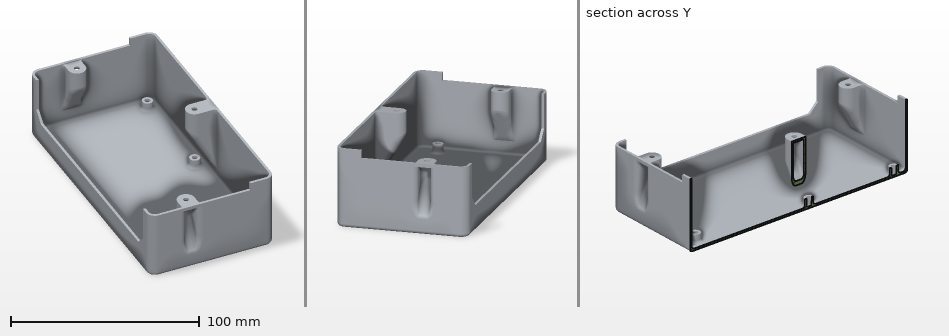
import cadquery as cq
import math

LENGTH = 149.2
WIDTH = 73.3
HEIGHT = 43.5
WALL = 1.5

CORNER_RADIUS = 5.0
BOTTOM_FILLET = 2.0
CAVITY_FLOOR_FILLET = 1.5

RIM_Z = 39.1
RIM_STEP_FROM_BACK = 14.5

WINDOW_FLOOR_Z = 14.2
WINDOW_END_MARGIN = 9.0
WINDOW_CHAMFER = 5.8

LUG_WIDTH = 10.0
LUG_SLOPE = math.radians(60)
LUG_SLOPE_FILLET = 3.1
LUG_ROOT_FILLET = 1.6
LUG_HOLE_DIAMETER = 3.1
SIDE_LUG_REACH = 12.5
SIDE_LUG_TOP_Z = 38.6
SIDE_LUG_NOSE_HEIGHT = 10.6
SIDE_LUG_Y = -12.1
BACK_LUG_REACH = 16.7
BACK_LUG_NOSE_HEIGHT = 12.4

LUGS = [
    (0, (-LENGTH / 2, SIDE_LUG_Y, 0), SIDE_LUG_REACH, SIDE_LUG_TOP_Z, SIDE_LUG_NOSE_HEIGHT),
    (180, (LENGTH / 2, SIDE_LUG_Y, 0), SIDE_LUG_REACH, SIDE_LUG_TOP_Z, SIDE_LUG_NOSE_HEIGHT),
    (-90, (0, WIDTH / 2, 0), BACK_LUG_REACH, HEIGHT, BACK_LUG_NOSE_HEIGHT),
]

POST_DIAMETER = 6.0
POST_HOLE_TOP_DIAMETER = 3.1
POST_HOLE_BOTTOM_DIAMETER = 2.8
POST_HEIGHT = 5.0
POST_FILLET = 1.6
POST_CENTERS = [(-65.3, 28.5), (-7.2, 28.5), (65.5, 22.1)]

EDGE_MARGIN = 0.1


def make_tray():
    outer = cq.Workplane("XY").box(LENGTH, WIDTH, HEIGHT, centered=(True, True, False))
    outer = outer.edges("|Z").fillet(CORNER_RADIUS).faces("<Z").edges().fillet(BOTTOM_FILLET)
    cavity = cq.Workplane("XY", origin=(0, 0, WALL)).box(
        LENGTH - 2 * WALL, WIDTH - 2 * WALL, HEIGHT, centered=(True, True, False)
    )
    cavity = cavity.edges("|Z").fillet(CORNER_RADIUS - WALL)
    cavity = cavity.faces("<Z").edges().fillet(CAVITY_FLOOR_FILLET)
    return outer.cut(cavity)


def make_rim_cut():
    depth = WIDTH - RIM_STEP_FROM_BACK
    return cq.Workplane("XY", origin=(0, -WIDTH / 2, RIM_Z)).box(
        LENGTH, depth, HEIGHT - RIM_Z, centered=(True, False, False)
    )


def make_window_cut():
    half = LENGTH / 2 - WINDOW_END_MARGIN
    outline = [
        (-half, HEIGHT),
        (-half, WINDOW_FLOOR_Z + WINDOW_CHAMFER),
        (-half + WINDOW_CHAMFER, WINDOW_FLOOR_Z),
        (half - WINDOW_CHAMFER, WINDOW_FLOOR_Z),
        (half, WINDOW_FLOOR_Z + WINDOW_CHAMFER),
        (half, HEIGHT),
    ]
    plane = cq.Workplane("XZ", origin=(0, -WIDTH / 2 + WALL, 0))
    return plane.polyline(outline).close().extrude(WALL)


def make_sloped_prism(plan, reach, top_z, nose_z, fillet):
    """Raise a round-nosed plan to top_z over an underside that falls from the nose back to the wall.

    The plan points along +X, and x = 0 is the outer face of the wall.
    """
    bounds = plan.val().BoundingBox()
    low_z = nose_z - (reach - bounds.xmin) * math.tan(LUG_SLOPE)
    half_width = bounds.ymax + EDGE_MARGIN
    prism = plan.extrude(top_z).cut(
        cq.Workplane("XZ")
        .polyline([(bounds.xmin, 0), (bounds.xmin, low_z), (reach, nose_z), (reach, 0)])
        .close()
        .extrude(half_width, both=True)
    )
    slope_middle = ((bounds.xmin + reach) / 2, 0, (low_z + nose_z) / 2)
    slope_face = prism.faces(cq.selectors.NearestToPointSelector(slope_middle))
    away_from_wall = cq.selectors.BoxSelector(
        (WALL + EDGE_MARGIN, -half_width, low_z), (reach + EDGE_MARGIN, half_width, top_z)
    )
    return slope_face.edges(away_from_wall).fillet(fillet)


def make_lug_solid(reach, top_z, nose_z):
    half_width = LUG_WIDTH / 2
    root_half_width = half_width + LUG_ROOT_FILLET
    straight_end = reach - half_width
    root_end = WALL + LUG_ROOT_FILLET
    arc_inset = LUG_ROOT_FILLET * (1 - math.sqrt(0.5))
    plan = (
        cq.Workplane("XY")
        .moveTo(WALL / 2, -root_half_width)
        .lineTo(WALL, -root_half_width)
        .threePointArc((WALL + arc_inset, -half_width - arc_inset), (root_end, -half_width))
        .lineTo(straight_end, -half_width)
        .threePointArc((reach, 0), (straight_end, half_width))
        .lineTo(root_end, half_width)
        .threePointArc((WALL + arc_inset, half_width + arc_inset), (WALL, root_half_width))
        .lineTo(WALL / 2, root_half_width)
        .close()
    )
    return make_sloped_prism(plan, reach, top_z, nose_z, LUG_SLOPE_FILLET)


def make_lug_hollow(reach, top_z, nose_z, half_width):
    straight_end = reach - half_width
    plan = (
        cq.Workplane("XY")
        .moveTo(-WALL, -half_width)
        .lineTo(straight_end, -half_width)
        .threePointArc((reach, 0), (straight_end, half_width))
        .lineTo(-WALL, half_width)
        .close()
    )
    return make_sloped_prism(plan, reach, top_z, nose_z, LUG_SLOPE_FILLET - WALL)


def place_on_wall(shape, angle, wall_point):
    """Turn a shape built along +X about Z, then move its origin to a point on an outer wall face."""
    return shape.rotate((0, 0, 0), (0, 0, 1), angle).translate(wall_point)


def fillet_mouth(body, angle, wall_point, half_width, top_z):
    """Fillet the sides and lower end of a hollow's opening in the outer wall face."""
    turn = math.radians(angle)
    span_x = abs(half_width * math.sin(turn)) + EDGE_MARGIN
    span_y = abs(half_width * math.cos(turn)) + EDGE_MARGIN
    x, y, _ = wall_point
    mouth = cq.selectors.BoxSelector(
        (x - span_x, y - span_y, WALL + CAVITY_FLOOR_FILLET),
        (x + span_x, y + span_y, top_z - EDGE_MARGIN),
    )
    return body.edges(mouth).fillet(LUG_ROOT_FILLET + WALL)


def add_lug(body, angle, wall_point, reach, top_z, nose_height):
    nose_z = top_z - nose_height
    body = body.union(place_on_wall(make_lug_solid(reach, top_z, nose_z), angle, wall_point))

    hollow_half_width = LUG_WIDTH / 2 - WALL
    hollow_top_z = top_z - WALL
    hollow_nose_z = nose_z + WALL / math.cos(LUG_SLOPE) - WALL * math.tan(LUG_SLOPE)
    hollow = make_lug_hollow(reach - WALL, hollow_top_z, hollow_nose_z, hollow_half_width)
    body = body.cut(place_on_wall(hollow, angle, wall_point))
    body = fillet_mouth(body, angle, wall_point, hollow_half_width, hollow_top_z)

    hole = (
        cq.Workplane("XY", origin=(reach - LUG_WIDTH / 2, 0, hollow_top_z))
        .circle(LUG_HOLE_DIAMETER / 2)
        .extrude(WALL)
    )
    return body.cut(place_on_wall(hole, angle, wall_point))


def add_post(body, x, y):
    base = cq.Workplane("XY", origin=(x, y, WALL))
    body = body.union(base.circle(POST_DIAMETER / 2).extrude(POST_HEIGHT))
    root = cq.selectors.BoxSelector(
        (x - POST_DIAMETER, y - POST_DIAMETER, WALL - EDGE_MARGIN),
        (x + POST_DIAMETER, y + POST_DIAMETER, WALL + EDGE_MARGIN),
        boundingbox=True,
    )
    body = body.edges(root).fillet(POST_FILLET)
    tapered_hole = cq.Solid.makeCone(
        POST_HOLE_BOTTOM_DIAMETER / 2, POST_HOLE_TOP_DIAMETER / 2, POST_HEIGHT, pnt=cq.Vector(x, y, WALL)
    )
    return body.cut(cq.Workplane(tapered_hole))


result = make_tray().cut(make_rim_cut()).cut(make_window_cut())
for lug_placement in LUGS:
    result = add_lug(result, *lug_placement)
for post_x, post_y in POST_CENTERS:
    result = add_post(result, post_x, post_y)